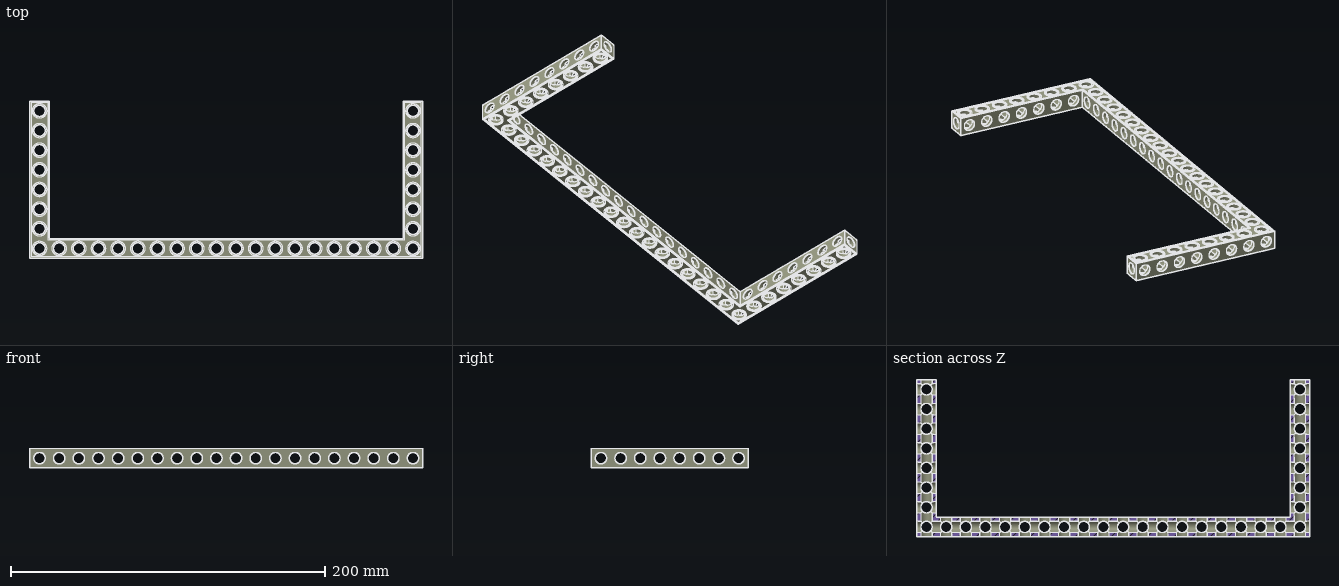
import cadquery as cq
pitch = 12.5
base_hole_count = 20
arm_hole_count = 8
beam = pitch
length = base_hole_count * pitch
depth = arm_hole_count * pitch

hole_diameter = 7.0
boss_diameter = 9.2
rim_width = 1.0
recess_depth = 0.5
edge_break = 0.2

base_stations = [(index + 0.5) * pitch for index in range(base_hole_count)]
arm_stations = [(index + 0.5) * pitch for index in range(arm_hole_count)]
left_axis = beam / 2
right_axis = length - beam / 2
mid = beam / 2


def u_prism(inset, bottom, height):
    """U-shaped prism, open towards +Y, with its outline moved inwards by the inset."""
    outline = [
        (inset, inset),
        (length - inset, inset),
        (length - inset, depth - inset),
        (length - beam + inset, depth - inset),
        (length - beam + inset, beam - inset),
        (beam - inset, beam - inset),
        (beam - inset, depth - inset),
        (inset, depth - inset),
    ]
    return cq.Workplane("XY", origin=(0, 0, bottom)).polyline(outline).close().extrude(height)


def vertical_centres():
    """Hole centres on the top of the beam; each corner is counted once."""
    centres = [(x, mid) for x in base_stations]
    for y in arm_stations[1:]:
        centres += [(left_axis, y), (right_axis, y)]
    return centres


def recess(bottom):
    """Shallow channel inside the rim, leaving a round boss at every vertical hole."""
    bosses = (
        cq.Workplane("XY", origin=(0, 0, bottom))
        .pushPoints(vertical_centres())
        .circle(boss_diameter / 2)
        .extrude(recess_depth)
    )
    return u_prism(rim_width, bottom, recess_depth).cut(bosses)


def hole_cutter(reach=beam):
    """Cutter along +Z from the origin, flared at both ends to break the mouths of the hole."""
    radius = hole_diameter / 2
    mouth = radius + edge_break
    profile = [
        (0, 0),
        (mouth, 0),
        (radius, edge_break),
        (radius, reach - edge_break),
        (mouth, reach),
        (0, reach),
    ]
    return cq.Workplane("XZ").polyline(profile).close().revolve(360, (0, 0, 0), (0, 1, 0))


def copies(cutter, positions):
    """One workplane holding the cutter at every position."""
    placed = [cutter.val().translate(cq.Vector(*position)) for position in positions]
    return cq.Workplane(cq.Compound.makeCompound(placed))


def along_x(cutter):
    """Turn a +Z cutter to point along +X."""
    return cutter.rotate((0, 0, 0), (0, 1, 0), 90)


def along_y(cutter):
    """Turn a +Z cutter to point along +Y."""
    return cutter.rotate((0, 0, 0), (1, 0, 0), -90)


frame = u_prism(0, 0, beam).edges().chamfer(edge_break)
frame = frame.cut(recess(0)).cut(recess(beam - recess_depth))

vertical_positions = [(x, y, 0) for x, y in vertical_centres()]
frame = frame.cut(copies(hole_cutter(), vertical_positions))

arm_positions = [(x, y, mid) for x in (0, length - beam) for y in arm_stations[1:]]
frame = frame.cut(copies(along_x(hole_cutter()), arm_positions))
frame = frame.cut(copies(along_x(hole_cutter(length)), [(0, mid, mid)]))

base_positions = [(x, 0, mid) for x in base_stations[1:-1]]
frame = frame.cut(copies(along_y(hole_cutter()), base_positions))
result = frame.cut(copies(along_y(hole_cutter(depth)), [(left_axis, 0, mid), (right_axis, 0, mid)]))